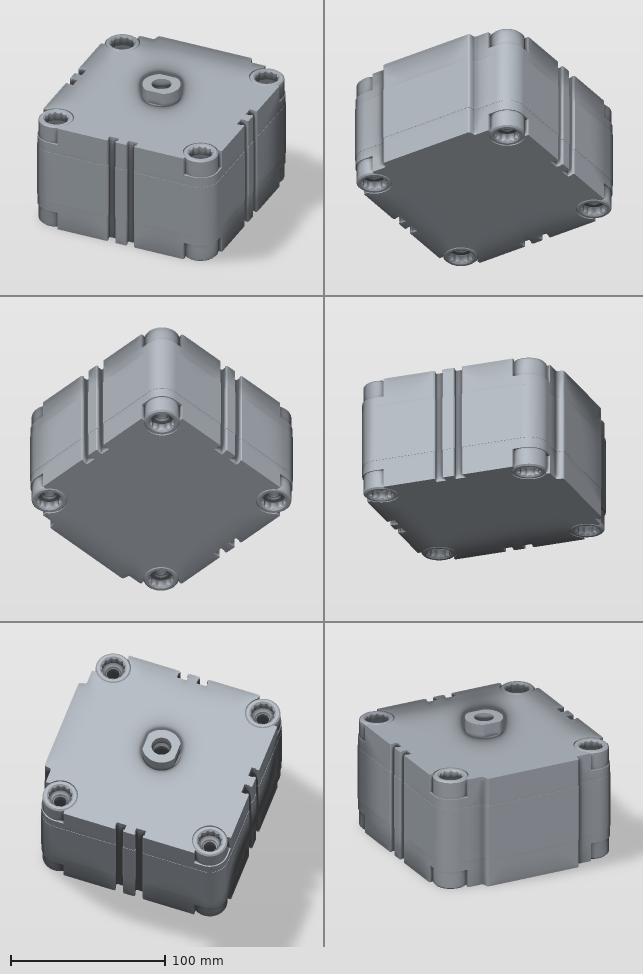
import cadquery as cq
import math

BODY_WIDTH = 128.0
BODY_HEIGHT = 76.5
END_HEIGHT = 19.5
BARREL_HEIGHT = BODY_HEIGHT - 2 * END_HEIGHT
END_INSET = 0.2

CORNER_RADIUS = 12.5
BOSS_OFFSET = BODY_WIDTH / 2 - CORNER_RADIUS
BOSS_DIAMETER = 23.0
BOSS_CHAMFER = 1.0
RELIEF_EDGE = 45.0
RELIEF_DEPTH = 12.5
HOLE_DIAMETER = 8.2

SOCKET_POINT_DIAMETER = 16.2
SOCKET_MOUTH_DIAMETER = 17.4
SOCKET_POINT_DEPTH = 6.0
SOCKET_DEPTH = 7.0
SINK_TOP_DIAMETER = 10.5
SINK_BOTTOM_DIAMETER = 9.3
SINK_DEPTH = 1.0

SLOT_OFFSET = 6.75
SLOT_DEPTH = 5.5
NECK_WIDTH = 5.0
CHANNEL_WIDTH = 6.7
LIP_THICKNESS = 2.0
LIP_CHAMFER = 0.6

PAD_HEIGHT = 5.0
PAD_HALF_BASE = 34.6
PAD_DRAFT_ANGLE = 10.0
PAD_FILLET = 1.5

ROD_DIAMETER = 25.0
ROD_LENGTH = 10.0
ROD_COLLAR = 1.0
ROD_ACROSS_FLATS = 22.0
ROD_GUIDE_DEPTH = END_HEIGHT
ROD_BORE_DIAMETER = 13.0
ROD_BORE_DEPTH = 6.5
ROD_THREAD_DIAMETER = 10.11
ROD_THREAD_DEPTH = 22.0
DRILL_POINT_ANGLE = 118.0


def slot_section(inset):
    """T-slot section opening toward -Y, centred on x = 0; the inset moves only the edge and the neck."""
    edge = -BODY_WIDTH / 2 + inset
    floor = -BODY_WIDTH / 2 + SLOT_DEPTH
    lip = -BODY_WIDTH / 2 + LIP_THICKNESS
    neck = NECK_WIDTH / 2 + inset
    channel = CHANNEL_WIDTH / 2
    half = [
        (neck + LIP_CHAMFER, edge),
        (neck, edge + LIP_CHAMFER),
        (neck, lip),
        (channel, lip),
        (channel, floor),
    ]
    mirrored = [(-x, y) for x, y in reversed(half)]
    return half + mirrored


def pad(inset, height):
    """Raised pad with drafted ends and rounded corners on the +Y side."""
    base = BODY_WIDTH / 2 - inset
    half_base = PAD_HALF_BASE - inset
    half_top = half_base - PAD_HEIGHT * math.tan(math.radians(PAD_DRAFT_ANGLE))
    return (
        cq.Workplane("XY")
        .polyline([
            (-half_base, 0),
            (-half_base, base),
            (-half_top, base + PAD_HEIGHT),
            (half_top, base + PAD_HEIGHT),
            (half_base, base),
            (half_base, 0),
        ])
        .close()
        .extrude(height)
    )


def profile_block(inset, height):
    """Barrel section, moved inward by the inset and extruded up from z = 0."""
    width = BODY_WIDTH - 2 * inset
    block = (
        cq.Workplane("XY")
        .rect(width, width)
        .extrude(height)
        .edges("|Z")
        .fillet(CORNER_RADIUS - inset)
        .union(pad(inset, height))
    )
    pad_zone = cq.selectors.BoxSelector(
        (-PAD_HALF_BASE - 1, BODY_WIDTH / 2 - 1, -1),
        (PAD_HALF_BASE + 1, BODY_WIDTH / 2 + PAD_HEIGHT + 1, height + 1),
    )
    block = block.edges("|Z").edges(pad_zone).fillet(PAD_FILLET)
    for side_angle in (-90, 0, 90):
        for offset in (-SLOT_OFFSET, SLOT_OFFSET):
            slot = (
                cq.Workplane("XY")
                .polyline(slot_section(inset))
                .close()
                .extrude(height)
                .translate((offset, 0, 0))
                .rotate((0, 0, 0), (0, 0, 1), side_angle)
            )
            block = block.cut(slot)
    return block


def at_corners(shape):
    """Copies of a shape at the four corner axes, as one workplane."""
    copies = cq.Workplane("XY")
    for x in (-BOSS_OFFSET, BOSS_OFFSET):
        for y in (-BOSS_OFFSET, BOSS_OFFSET):
            copies = copies.add(shape.translate((x, y, 0)))
    return copies.combine()


def cone(bottom_diameter, top_diameter, bottom, top):
    """Cone frustum about the Z axis between two heights."""
    return cq.Workplane("XY").add(
        cq.Solid.makeCone(bottom_diameter / 2, top_diameter / 2, top - bottom, pnt=cq.Vector(0, 0, bottom))
    )


def corner_relief():
    """Material outside the bosses, removed from the outer face of an end section."""
    size = BODY_WIDTH / 2 - RELIEF_EDGE
    middle = RELIEF_EDGE + size / 2
    floor = END_HEIGHT - RELIEF_DEPTH
    relief = (
        cq.Workplane("XY")
        .workplane(offset=floor)
        .rect(2 * middle, 2 * middle, forConstruction=True)
        .vertices()
        .rect(size, size)
        .extrude(RELIEF_DEPTH)
    )
    chamfer_zone = (
        cq.Workplane("XY")
        .workplane(offset=END_HEIGHT - BOSS_CHAMFER)
        .circle(BOSS_DIAMETER / 2)
        .extrude(BOSS_CHAMFER)
    )
    return relief.union(at_corners(chamfer_zone))


def boss():
    """Round corner boss with a chamfered outer rim."""
    return (
        cq.Workplane("XY")
        .circle(BOSS_DIAMETER / 2)
        .extrude(END_HEIGHT)
        .faces(">Z")
        .edges()
        .chamfer(BOSS_CHAMFER)
    )


def socket():
    """Twelve-point socket, round clearance and countersink for one boss."""
    floor = END_HEIGHT - SOCKET_DEPTH
    star = (
        cq.Workplane("XY")
        .workplane(offset=END_HEIGHT - SOCKET_POINT_DEPTH)
        .polygon(6, SOCKET_POINT_DIAMETER)
        .extrude(SOCKET_POINT_DEPTH)
    )
    star = star.union(star.rotate((0, 0, 0), (0, 0, 1), 30))
    clearance = (
        cq.Workplane("XY")
        .workplane(offset=floor)
        .circle(SOCKET_POINT_DIAMETER / 2)
        .extrude(SOCKET_DEPTH - SOCKET_POINT_DEPTH)
    )
    across_flats = SOCKET_POINT_DIAMETER * math.cos(math.pi / 6)
    mouth_depth = (SOCKET_MOUTH_DIAMETER - across_flats) / 2
    mouth = cone(across_flats, SOCKET_MOUTH_DIAMETER, END_HEIGHT - mouth_depth, END_HEIGHT)
    sink = cone(SINK_BOTTOM_DIAMETER, SINK_TOP_DIAMETER, floor - SINK_DEPTH, floor)
    return star.union(clearance).union(mouth).union(sink)


def end_section():
    """End section of the housing, with its inner face on z = 0 and its outer face upward."""
    return (
        profile_block(END_INSET, END_HEIGHT)
        .cut(corner_relief())
        .union(at_corners(boss()))
        .cut(at_corners(socket()))
    )


def rod_blank():
    """Rod with two wrench flats; its free end is on z = 0 and it extends downward."""
    flat_length = ROD_LENGTH - ROD_COLLAR
    rod = cq.Workplane("XY").circle(ROD_DIAMETER / 2).extrude(-ROD_LENGTH - ROD_GUIDE_DEPTH)
    flat_cut = (
        cq.Workplane("XY")
        .rect(2 * ROD_DIAMETER, 2 * ROD_DIAMETER)
        .rect(2 * ROD_DIAMETER, ROD_ACROSS_FLATS)
        .extrude(-flat_length)
    )
    return rod.cut(flat_cut)


def rod_thread_hole():
    """Counterbore, lead-in cone, thread hole and drill point, measured down from z = 0."""
    bore = ROD_BORE_DIAMETER / 2
    thread = ROD_THREAD_DIAMETER / 2
    point_length = thread / math.tan(math.radians(DRILL_POINT_ANGLE / 2))
    return (
        cq.Workplane("XZ")
        .polyline([
            (0, 0),
            (bore, 0),
            (bore, -ROD_BORE_DEPTH),
            (thread, -ROD_BORE_DEPTH - (bore - thread)),
            (thread, -ROD_THREAD_DEPTH),
            (0, -ROD_THREAD_DEPTH - point_length),
        ])
        .close()
        .revolve(360, (0, 0, 0), (0, 1, 0))
    )


lower_end = end_section().mirror("XY").translate((0, 0, END_HEIGHT))
upper_end = end_section().translate((0, 0, BODY_HEIGHT - END_HEIGHT))
screw_hole = cq.Workplane("XY").circle(HOLE_DIAMETER / 2).extrude(BODY_HEIGHT)
rod_hole = (
    cq.Workplane("XY")
    .workplane(offset=BODY_HEIGHT)
    .circle(ROD_DIAMETER / 2)
    .extrude(-ROD_GUIDE_DEPTH)
)
housing = (
    profile_block(0, BARREL_HEIGHT)
    .translate((0, 0, END_HEIGHT))
    .union(lower_end)
    .union(upper_end)
    .cut(at_corners(screw_hole))
    .cut(rod_hole)
    .clean()
)

piston_rod = rod_blank().cut(rod_thread_hole()).translate((0, 0, BODY_HEIGHT + ROD_LENGTH))

result = cq.Compound.makeCompound([housing.val(), piston_rod.val()])